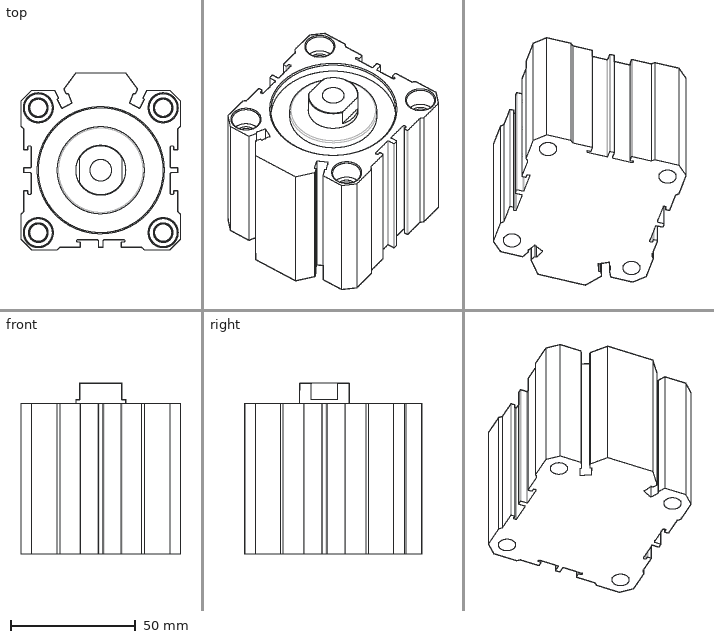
import cadquery as cq

BODY_SIDE = 64.0
BODY_DEPTH = 71.0
BODY_HEIGHT = 60.35
HALF_SIDE = BODY_SIDE / 2
CORNER_CUT = 4.3

RELIEF_DEPTH = 1.1
RELIEF_HALF_LENGTH_SIDE = 16.55
RELIEF_HALF_LENGTH_FRONT = 16.4
RELIEF_FACE = HALF_SIDE - RELIEF_DEPTH
RELIEF_RAMP = 1.15

SLOT_HALF_MOUTH = 8.2
SLOT_HALF_WIDTH = 9.65
SLOT_FLOOR = 27.9
SIDE_SLOT_LIP = 1.8
FRONT_SLOT_LIP = 2.2
RIB_HALF_WIDTH = 1.0
SLOT_ROUNDING = 0.3

RAIL_TOP = BODY_DEPTH - HALF_SIDE
RAIL_HALF_TOP = 9.95
RAIL_HALF_WIDTH = 14.7
RAIL_WIDEST = 32.65
RAIL_EDGE = 0.6
RAIL_LIP_OUTER = (13.8, 30.5)
RAIL_LIP_INNER = (13.0, 30.5)

GROOVE_FLOOR_INNER = (11.6, 26.9)
GROOVE_FLOOR_OUTER = (15.55, 24.8)
GROOVE_NOTCH_LOWER = (17.3, 28.3)
GROOVE_NOTCH_UPPER = (16.9, 28.9)
GROOVE_MOUTH = 18.4

BOLT_PITCH = 50.0
BOLT_HOLE_DIAMETER = 6.9
BOLT_HOLE_CHAMFER = 0.5
COUNTERBORE_DIAMETER = 11.2
COUNTERBORE_DEPTH = 8.5
COUNTERBORE_CHAMFER = 0.4

RECESS_DIAMETER = 50.0
RECESS_DEPTH = 4.0
RECESS_CHAMFER = 0.5
GUIDE_DIAMETER = 34.9
GUIDE_DROP = 0.5
GUIDE_ROUNDING = 0.6
RECESS_FLOOR = BODY_HEIGHT - RECESS_DEPTH
GUIDE_TOP = BODY_HEIGHT - GUIDE_DROP

ROD_DIAMETER = 20.0
ROD_TOP = 68.5
ROD_FLAT_WIDTH = 17.0
ROD_FLAT_BOTTOM = BODY_HEIGHT + 1.5
ROD_CHAMFER = 0.2
ROD_BOTTOM = RECESS_FLOOR
ROD_BORE_DIAMETER = 8.65
ROD_BORE_DEPTH = 11.0


def half_outline():
    """Points of the +X half of the profile, from the back rail round to the front rib."""
    corner = HALF_SIDE - CORNER_CUT
    rail = [
        (RAIL_HALF_TOP, RAIL_TOP),
        (RAIL_HALF_WIDTH, RAIL_WIDEST),
        (RAIL_HALF_WIDTH, RAIL_WIDEST - RAIL_EDGE),
        RAIL_LIP_OUTER,
        RAIL_LIP_INNER,
    ]
    groove = [
        GROOVE_FLOOR_INNER,
        GROOVE_FLOOR_OUTER,
        GROOVE_NOTCH_LOWER,
        GROOVE_NOTCH_UPPER,
        (GROOVE_MOUTH, HALF_SIDE),
    ]
    upper_side = [
        (corner, HALF_SIDE),
        (HALF_SIDE, corner),
        (HALF_SIDE, RELIEF_HALF_LENGTH_SIDE + RELIEF_RAMP),
        (RELIEF_FACE, RELIEF_HALF_LENGTH_SIDE),
        (RELIEF_FACE, SLOT_HALF_MOUTH),
        (RELIEF_FACE - SIDE_SLOT_LIP, SLOT_HALF_MOUTH),
        (RELIEF_FACE - SIDE_SLOT_LIP, SLOT_HALF_WIDTH),
        (SLOT_FLOOR, SLOT_HALF_WIDTH),
        (SLOT_FLOOR, RIB_HALF_WIDTH),
        (RELIEF_FACE, RIB_HALF_WIDTH),
    ]
    lower_side = [(x, -y) for x, y in reversed(upper_side[1:])]
    front = [
        (corner, -HALF_SIDE),
        (RELIEF_HALF_LENGTH_FRONT + RELIEF_RAMP, -HALF_SIDE),
        (RELIEF_HALF_LENGTH_FRONT, -RELIEF_FACE),
        (SLOT_HALF_MOUTH, -RELIEF_FACE),
        (SLOT_HALF_MOUTH, FRONT_SLOT_LIP - RELIEF_FACE),
        (SLOT_HALF_WIDTH, FRONT_SLOT_LIP - RELIEF_FACE),
        (SLOT_HALF_WIDTH, -SLOT_FLOOR),
        (RIB_HALF_WIDTH, -SLOT_FLOOR),
        (RIB_HALF_WIDTH, -RELIEF_FACE),
    ]
    return rail + groove + upper_side + lower_side + front


def cylinder(diameter, bottom, top):
    return cq.Workplane("XY").workplane(offset=bottom).circle(diameter / 2).extrude(top - bottom)


def round_slot_edges(profile):
    """Round the lengthwise edges of the lips and ribs in the side and front slots."""
    reach = SLOT_HALF_WIDTH + SLOT_ROUNDING
    near = SLOT_FLOOR - SLOT_ROUNDING
    far = RELIEF_FACE + SLOT_ROUNDING
    right_zone = cq.selectors.BoxSelector((near, -reach, 0), (far, reach, BODY_HEIGHT))
    left_zone = cq.selectors.BoxSelector((-far, -reach, 0), (-near, reach, BODY_HEIGHT))
    front_zone = cq.selectors.BoxSelector((-reach, -far, 0), (reach, -near, BODY_HEIGHT))
    slot_edges = profile.edges("|Z").edges(right_zone + left_zone + front_zone)
    return slot_edges.fillet(SLOT_ROUNDING)


def make_profile():
    right = half_outline()
    left = [(-x, y) for x, y in reversed(right)]
    profile = cq.Workplane("XY").polyline(right + left).close().extrude(BODY_HEIGHT)
    return round_slot_edges(profile)


def countersunk_cutter(diameter, bottom, top, chamfer):
    """Round cutter between two heights, flared by the chamfer at its upper mouth."""
    flare = cq.Solid.makeCone(
        diameter / 2, diameter / 2 + chamfer, chamfer, pnt=cq.Vector(0, 0, top - chamfer)
    )
    return cylinder(diameter, bottom, top).union(cq.Workplane(obj=flare))


def make_bolt_cutter():
    shoulder = BODY_HEIGHT - COUNTERBORE_DEPTH
    through_hole = countersunk_cutter(BOLT_HOLE_DIAMETER, 0, shoulder, BOLT_HOLE_CHAMFER)
    counterbore = countersunk_cutter(COUNTERBORE_DIAMETER, shoulder, BODY_HEIGHT, COUNTERBORE_CHAMFER)
    return through_hole.union(counterbore)


def make_housing():
    housing = make_profile()
    housing = housing.cut(countersunk_cutter(RECESS_DIAMETER, RECESS_FLOOR, BODY_HEIGHT, RECESS_CHAMFER))
    guide = cylinder(GUIDE_DIAMETER, RECESS_FLOOR, GUIDE_TOP).faces(">Z").fillet(GUIDE_ROUNDING)
    housing = housing.union(guide)
    bolt_cutter = make_bolt_cutter()
    for side_x in (-1, 1):
        for side_y in (-1, 1):
            place = (side_x * BOLT_PITCH / 2, side_y * BOLT_PITCH / 2, 0)
            housing = housing.cut(bolt_cutter.translate(place))
    return housing.cut(cylinder(ROD_DIAMETER, ROD_BOTTOM, GUIDE_TOP))


def make_rod():
    rod = cylinder(ROD_DIAMETER, ROD_BOTTOM, ROD_TOP).faces(">Z").chamfer(ROD_CHAMFER)
    flat_height = ROD_TOP - ROD_FLAT_BOTTOM
    flat_depth = (ROD_DIAMETER - ROD_FLAT_WIDTH) / 2
    flat_offset = (ROD_FLAT_WIDTH + flat_depth) / 2
    flat_cutters = (
        cq.Workplane("XY")
        .workplane(offset=ROD_FLAT_BOTTOM)
        .pushPoints([(-flat_offset, 0), (flat_offset, 0)])
        .rect(flat_depth, ROD_DIAMETER)
        .extrude(flat_height)
    )
    rod = rod.cut(flat_cutters)
    return rod.cut(cylinder(ROD_BORE_DIAMETER, ROD_TOP - ROD_BORE_DEPTH, ROD_TOP))


housing = make_housing()
rod = make_rod()
result = cq.Compound.makeCompound([housing.val(), rod.val()])